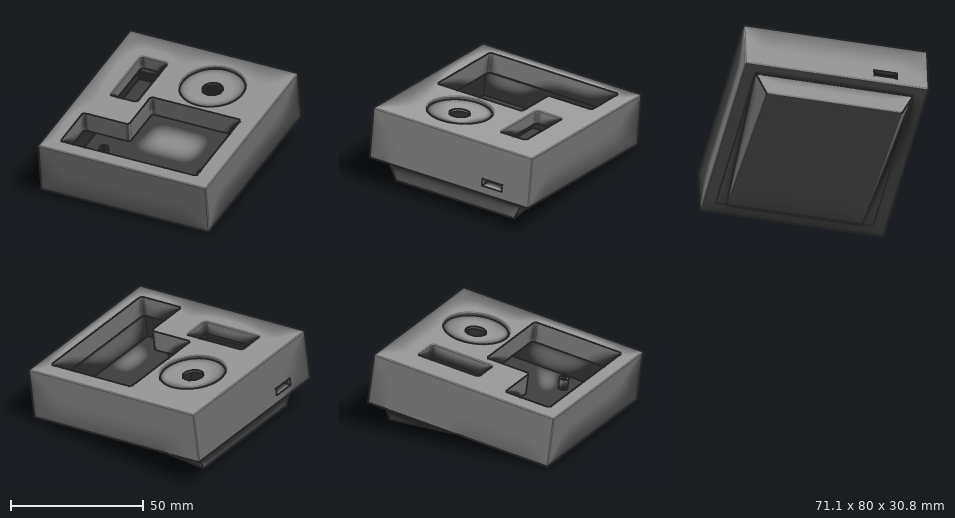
import cadquery as cq
import math

overall_depth = 80.0
width = 71.1
height = 20.9
tilt = 7.5
edge_radius = 0.4

tilt_sin = math.sin(math.radians(tilt))
tilt_cos = math.cos(math.radians(tilt))
core_height = height - 2 * edge_radius
core_depth = (overall_depth - 2 * edge_radius - core_height * tilt_sin) / tilt_cos
depth = core_depth + 2 * edge_radius

wall = 5.05
deck = 8.25
plug_thickness = 2.5
cavity_width = width - 2 * wall
cavity_depth = depth - 2 * wall
pocket_corner_radius = 1.2

opening_margin_x = 6.8
opening_front = 5.6
opening_step_x = 26.2
opening_step_y = 24.8
opening_back = 43.45

window_center = (16.8, 51.85)
window_width = 11.45
window_length = 26.25
window_lip = 5.6
relief_margin_x = 1.7
relief_margin_y = 0.9

dial_center = (44.8, 58.2)
dial_diameter = 25.1
dial_depth = 1.4
shaft_diameter = 7.9
shaft_web = 1.1
dial_relief_side = 13.1
dial_relief_radius = 0.8

slot_center_x = 16.6
slot_bottom = 3.4
slot_width = 9.0
slot_height = 2.9

wedge_back_inset = 4.6
wedge_side_taper = 25.0
wedge_bottom = 0.6
post_diameter = 3.5
post_bore = 1.6
post_height = 4.3
post_inset_x = 14.8
post_y = 24.5


def tilted(body):
    return body.rotate((0, 0, 0), (1, 0, 0), tilt)


def box(x, y, z, size_x, size_y, size_z):
    return cq.Workplane("XY").box(size_x, size_y, size_z, centered=False).translate((x, y, z))


def housing_blank():
    blank = box(0, 0, 0, width, depth, height).edges().fillet(edge_radius)
    return blank.cut(box(wall, wall, 0, cavity_width, cavity_depth, height - deck))


def stepped_opening():
    right = width - opening_margin_x
    outline = [
        (opening_margin_x, opening_front),
        (right, opening_front),
        (right, opening_back),
        (opening_step_x, opening_back),
        (opening_step_x, opening_step_y),
        (opening_margin_x, opening_step_y),
    ]
    prism = cq.Workplane("XY").workplane(offset=height - deck).polyline(outline).close().extrude(deck)
    return prism.edges("|Z").fillet(pocket_corner_radius)


def window_cut():
    lip_plane = cq.Workplane("XY").workplane(offset=height - window_lip).center(*window_center)
    opening = lip_plane.rect(window_width, window_length).extrude(window_lip)
    opening = opening.edges("|Z").fillet(pocket_corner_radius)
    relief = lip_plane.rect(window_width + 2 * relief_margin_x, window_length + 2 * relief_margin_y)
    return opening.union(relief.extrude(window_lip - deck))


def dial_cut():
    seat_plane = cq.Workplane("XY").workplane(offset=height - dial_depth).center(*dial_center)
    seat = seat_plane.circle(dial_diameter / 2).extrude(dial_depth)
    shaft = seat_plane.circle(shaft_diameter / 2).extrude(-shaft_web)
    relief = seat_plane.workplane(offset=-shaft_web).rect(dial_relief_side, dial_relief_side)
    relief = relief.extrude(dial_depth + shaft_web - deck).edges("|Z").fillet(dial_relief_radius)
    return seat.union(shaft).union(relief)


def cable_slot():
    left = slot_center_x - slot_width / 2
    return box(left, depth - wall, slot_bottom, slot_width, wall, slot_height)


def make_housing():
    body = housing_blank().cut(window_cut()).cut(dial_cut())
    top_rims = [edge for wire in body.faces(">Z").val().innerWires() for edge in wire.Edges()]
    body = body.newObject(top_rims).fillet(edge_radius)
    return tilted(body.cut(stepped_opening()).cut(cable_slot()))


def make_wedge():
    back = depth * tilt_cos - wedge_back_inset
    top = back * tilt_sin / tilt_cos
    front = wedge_bottom * tilt_cos / tilt_sin
    side_run = (top - wedge_bottom) * math.tan(math.radians(wedge_side_taper))
    section = [
        (wall, top),
        (width - wall, top),
        (width - wall - side_run, wedge_bottom),
        (wall + side_run, wedge_bottom),
    ]
    profile = [(front, wedge_bottom), (back, wedge_bottom), (back, top)]
    bar = cq.Workplane("XZ").polyline(section).close().extrude(-back)
    wedge = bar.intersect(cq.Workplane("YZ").polyline(profile).close().extrude(width))
    return wedge.faces("<Z").edges("not <Y").fillet(edge_radius)


def make_post(x):
    post = cq.Workplane("XY").workplane(offset=plug_thickness).center(x, post_y)
    return post.circle(post_diameter / 2).circle(post_bore / 2).extrude(post_height)


def make_base():
    plug = box(wall, wall, 0, cavity_width, cavity_depth, plug_thickness)
    for x in (post_inset_x, width - post_inset_x):
        plug = plug.union(make_post(x))
    return tilted(plug).union(make_wedge())


housing = make_housing()
base = make_base()
result = cq.Compound.makeCompound([housing.val(), base.val()])